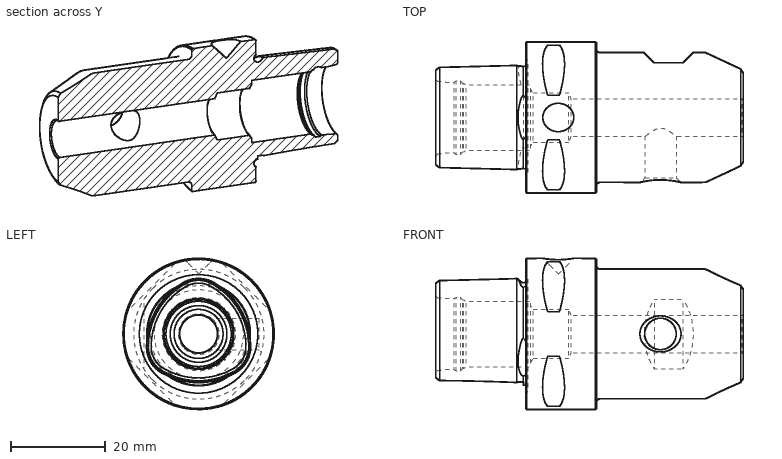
import cadquery as cq
import math


shank_length = 19.0
shank_width = 22.05
lobe_tip_radius = 11.74
lobe_center_radius = (2 * lobe_tip_radius - shank_width) / (2 - math.sqrt(3))
lobe_arc_radius = lobe_tip_radius - lobe_center_radius
flank_arc_radius = shank_width - lobe_arc_radius
lobe_directions = (90.0, 210.0, 330.0)
arc_half_angle = 30.0
taper_end_gap = 1.84
taper_slope = 0.025
shank_chamfer_length = 0.8
shank_chamfer_inset = 0.6
neck_inset = 0.12

relief_radius = 10.85
relief_groove_radius = 0.9
relief_collar_length = 0.45
turning_clearance_radius = 15.0

flange_diameter = 32.0
flange_length = 15.0
flange_chamfer = 0.25

nose_diameter = 27.5
nose_end = 46.0
nose_root_fillet = 0.7
nose_cone_start = 38.0
nose_cone_angle = 25.0
nose_cone_blend = 1.0
nose_tip_chamfer = 0.6

mouth_diameter = 16.5
mouth_fillet = 0.58
entry_cone_end = 2.1
land_diameter = 15.0
clamp_groove_diameter = 15.5
clamp_groove_start = 3.8
clamp_groove_flank = 0.4
clamp_groove_end = 5.2
lead_in_diameter = 14.56
lead_in_start = 5.6
lead_in_cone_start = 5.86
lead_in_end = 6.3
shank_bore_diameter = 13.8
shank_bore_depth = 20.0
thread_mouth_diameter = 12.0
thread_mouth_angle = 120.0
thread_bore_diameter = 10.38
thread_bore_depth = 28.0
drill_tip_angle = 130.0
tool_bore_diameter = 8.0
tool_bore_chamfer = 0.3

screw_x = 28.5
screw_hole_diameter = 6.65
screw_sink_diameter = 8.7

balance_x = 30.2
balance_floor_y = 11.6
balance_floor_length = 6.1

slot_x = 5.9
slot_floor_distance = 14.12
slot_floor_width = 2.5
slot_wall_angle = 30.0
slot_corner_fillet = 0.45
slot_angles = (45.0, 135.0, 225.0, 315.0)

dimple_x = 6.9
dimple_diameter = 6.55

flange_radius = flange_diameter / 2
nose_radius = nose_diameter / 2


def polar_point(radius, angle):
    return radius * math.cos(math.radians(angle)), radius * math.sin(math.radians(angle))


def cone_length(large_radius, small_radius, included_angle):
    return (large_radius - small_radius) / math.tan(math.radians(included_angle / 2))


def lobed_wire(x, inset):
    """Closed outline of six arcs in the plane at x, offset inwards by inset."""
    lobe_radius = lobe_arc_radius - inset
    flank_radius = flank_arc_radius - inset

    def arc(center_angle, radius, direction):
        center_y, center_z = polar_point(lobe_center_radius, center_angle)
        points = []
        for angle in (direction - arc_half_angle, direction, direction + arc_half_angle):
            offset_y, offset_z = polar_point(radius, angle)
            points.append(cq.Vector(x, center_y + offset_y, center_z + offset_z))
        return cq.Edge.makeThreePointArc(*points)

    edges = []
    for angle in lobe_directions:
        edges.append(arc(angle, lobe_radius, angle))
        flank_direction = angle + 2 * arc_half_angle
        edges.append(arc(flank_direction + 180, flank_radius, flank_direction))
    return cq.Wire.assembleEdges(edges)


def lobed_section(x_start, inset_start, x_end, inset_end):
    wires = [lobed_wire(x_start, inset_start), lobed_wire(x_end, inset_end)]
    return cq.Workplane(obj=cq.Solid.makeLoft(wires, True))


def revolve_about_x(profile):
    return profile.close().revolve(360, (0, 0, 0), (1, 0, 0))


def make_shank():
    chamfer_x = -shank_length + shank_chamfer_length
    chamfer_inset = taper_slope * (-taper_end_gap - chamfer_x)
    end_inset = chamfer_inset + shank_chamfer_inset
    tip = lobed_section(-shank_length, end_inset, chamfer_x, chamfer_inset)
    taper = lobed_section(chamfer_x, chamfer_inset, -taper_end_gap, 0)
    neck = lobed_section(-taper_end_gap, neck_inset, flange_chamfer, neck_inset)
    collar = cq.Workplane("YZ", origin=(-relief_collar_length, 0, 0)).circle(relief_radius)
    return tip.union(taper).union(neck).union(collar.extrude(relief_collar_length + flange_chamfer))


def make_flange_and_nose():
    tip_radius = nose_radius - (nose_end - nose_cone_start) * math.tan(math.radians(nose_cone_angle))
    flange = cq.Workplane("YZ").circle(flange_radius).extrude(flange_length)
    flange = flange.faces("<X or >X").chamfer(flange_chamfer)
    nose = revolve_about_x(
        cq.Workplane("XY")
        .moveTo(flange_length, 0)
        .lineTo(flange_length, nose_radius)
        .lineTo(nose_cone_start, nose_radius)
        .lineTo(nose_end, tip_radius)
        .lineTo(nose_end, 0)
    )
    nose = nose.faces(">X").chamfer(nose_tip_chamfer)
    cone_edge = cq.selectors.BoxSelector(
        (nose_cone_start - nose_cone_blend, -flange_radius, -flange_radius),
        (nose_cone_start + nose_cone_blend, flange_radius, flange_radius),
    )
    nose = nose.edges("%CIRCLE").edges(cone_edge).fillet(nose_cone_blend)
    root_ring = revolve_about_x(
        cq.Workplane("XY")
        .moveTo(flange_length, nose_radius)
        .lineTo(flange_length, nose_radius + nose_root_fillet)
        .radiusArc((flange_length + nose_root_fillet, nose_radius), -nose_root_fillet)
    )
    return flange.union(nose).union(root_ring)


def cut_relief(body):
    """Turn the lobes down behind the taper and sink a round groove into the flange face."""
    groove_center_x = -relief_collar_length
    groove_center_r = relief_radius + relief_groove_radius
    face_offset = math.sqrt(relief_groove_radius**2 - groove_center_x**2)
    tangent_offset = relief_groove_radius / math.sqrt(2)
    tangent_x = groove_center_x - tangent_offset
    tangent_r = groove_center_r - tangent_offset
    lead_in = turning_clearance_radius - tangent_r
    relief = revolve_about_x(
        cq.Workplane("XY")
        .moveTo(tangent_x, tangent_r)
        .threePointArc(
            (groove_center_x, relief_radius),
            (0, groove_center_r + face_offset),
        )
        .lineTo(0, turning_clearance_radius)
        .lineTo(tangent_x - lead_in, turning_clearance_radius)
    )
    return body.cut(relief)


def cut_bores(body):
    face = -shank_length
    mouth_radius = mouth_diameter / 2
    entry_radius = mouth_radius - mouth_fillet
    land_radius = land_diameter / 2
    groove_radius = clamp_groove_diameter / 2
    lead_in_radius = lead_in_diameter / 2
    bore_radius = shank_bore_diameter / 2
    thread_mouth_radius = thread_mouth_diameter / 2
    thread_radius = thread_bore_diameter / 2
    tool_radius = tool_bore_diameter / 2
    mouth_length = cone_length(thread_mouth_radius, thread_radius, thread_mouth_angle)
    drill_tip_length = cone_length(thread_radius, tool_radius, drill_tip_angle)
    bores = revolve_about_x(
        cq.Workplane("XY")
        .moveTo(face, 0)
        .lineTo(face, mouth_radius)
        .radiusArc((face + mouth_fillet, entry_radius), -mouth_fillet)
        .lineTo(face + entry_cone_end, land_radius)
        .lineTo(face + clamp_groove_start, land_radius)
        .lineTo(face + clamp_groove_start + clamp_groove_flank, groove_radius)
        .lineTo(face + clamp_groove_end, groove_radius)
        .lineTo(face + lead_in_start, lead_in_radius)
        .lineTo(face + lead_in_cone_start, lead_in_radius)
        .lineTo(face + lead_in_end, bore_radius)
        .lineTo(face + shank_bore_depth, bore_radius)
        .lineTo(face + shank_bore_depth, thread_mouth_radius)
        .lineTo(face + shank_bore_depth + mouth_length, thread_radius)
        .lineTo(face + thread_bore_depth, thread_radius)
        .lineTo(face + thread_bore_depth + drill_tip_length, tool_radius)
        .lineTo(nose_end - tool_bore_chamfer, tool_radius)
        .lineTo(nose_end, tool_radius + tool_bore_chamfer)
        .lineTo(nose_end, 0)
    )
    return body.cut(bores)


def cut_screw_hole(body):
    sink_depth = (screw_sink_diameter - screw_hole_diameter) / 2
    start = cq.Vector(screw_x, -nose_radius, 0)
    inward = cq.Vector(0, 1, 0)
    hole = cq.Solid.makeCylinder(screw_hole_diameter / 2, nose_radius, start, inward)
    sink = cq.Solid.makeCone(screw_sink_diameter / 2, screw_hole_diameter / 2, sink_depth, start, inward)
    return body.cut(cq.Workplane(obj=hole)).cut(cq.Workplane(obj=sink))


def cut_balance_flat(body):
    half_floor = balance_floor_length / 2
    half_top = half_floor + flange_radius - balance_floor_y
    notch = (
        cq.Workplane("XY")
        .moveTo(balance_x - half_floor, balance_floor_y)
        .lineTo(balance_x + half_floor, balance_floor_y)
        .lineTo(balance_x + half_top, flange_radius)
        .lineTo(balance_x - half_top, flange_radius)
        .close()
        .extrude(nose_radius, both=True)
    )
    return body.cut(notch)


def cut_gripper_slots(body):
    half_floor = slot_floor_width / 2
    wall_height = flange_radius - slot_floor_distance
    half_top = half_floor + wall_height * math.tan(math.radians(slot_wall_angle))
    slot = (
        cq.Workplane("XY")
        .moveTo(slot_x - half_floor, slot_floor_distance)
        .lineTo(slot_x + half_floor, slot_floor_distance)
        .lineTo(slot_x + half_top, flange_radius)
        .lineTo(slot_x - half_top, flange_radius)
        .close()
        .extrude(flange_radius, both=True)
        .faces("<Y")
        .edges("|Z")
        .fillet(slot_corner_fillet)
    )
    for angle in slot_angles:
        body = body.cut(slot.rotate((0, 0, 0), (1, 0, 0), angle))
    return body


def cut_dimple(body):
    radius = dimple_diameter / 2
    top = cq.Vector(dimple_x, 0, flange_radius)
    return body.cut(cq.Workplane(obj=cq.Solid.makeCone(radius, 0, radius, top, cq.Vector(0, 0, -1))))


result = make_shank().union(make_flange_and_nose())
result = cut_relief(result)
result = cut_bores(result)
result = cut_screw_hole(result)
result = cut_balance_flat(result)
result = cut_gripper_slots(result)
result = cut_dimple(result)